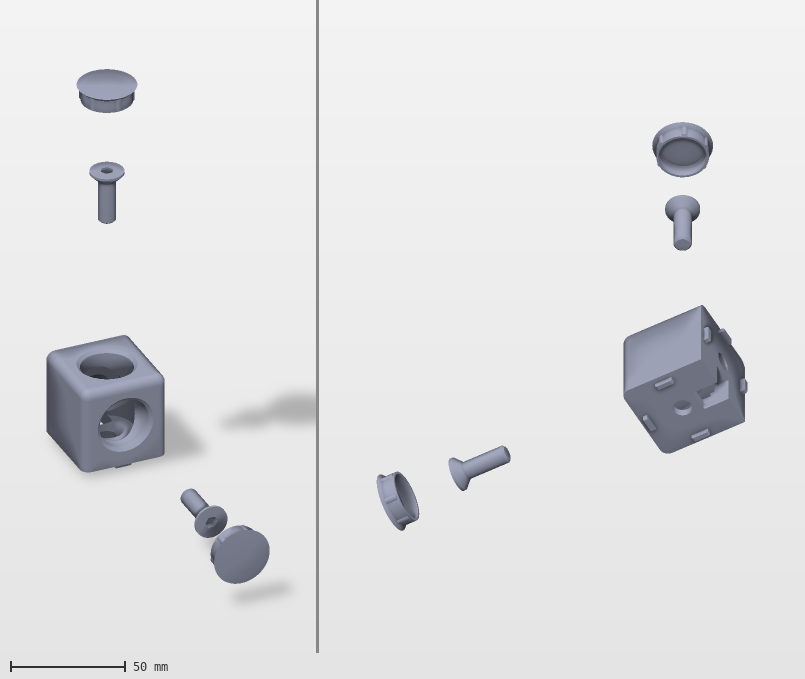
import cadquery as cq
import math

block_size = 40.0
half_size = block_size / 2
edge_radius = 4.0

mouth_diameter = 26.5
bore_diameter = 24.2
lip_diameter = 23.6
lip_length = 0.6
mouth_depth = (mouth_diameter - lip_diameter) / 2
floor_thickness = 7.1
clearance_diameter = 8.5
head_diameter = 15.24
seat_diameter = head_diameter

slot_width = 10.4
slot_reach = 12.15
slot_corner_radius = 1.0
slot_wall_height = 4.6

tab_length = 8.1
tab_thickness = 2.1
tab_height = 2.5
tab_root = 1.0
tab_tip_radius = 1.0
tab_offset = 16.45

screw_diameter = 8.0
screw_length = 25.0
head_rim = 1.2
head_cone = (head_diameter - screw_diameter) / 2
tip_chamfer = 0.85
socket_flats = 5.0
socket_depth = 3.0

cap_rim_radius = mouth_diameter / 2
cap_plug_radius = 11.5
cap_cone = cap_rim_radius - cap_plug_radius
cap_height = 8.1
cap_dome = 0.5
cap_wall = 1.0
cap_top_thickness = 2.2
cap_floor_chamfer = 0.5
rib_count = 6
rib_radius = 1.75
rib_reach = 12.1
rib_start = 0.7

top_cap_face = 181.34
side_cap_face = 165.04
top_screw_face = 137.5
side_screw_face = 132.0
top_cap_turn = 2.6
side_cap_turn = -17.0

top_axis = cq.Plane(origin=(half_size, 0, 0), xDir=(1, 0, 0), normal=(0, 0, 1))
side_axis = cq.Plane(origin=(0, 0, half_size), xDir=(0, 0, 1), normal=(1, 0, 0))


def revolved(points):
    """Turn a (radius, height) outline about the local Z axis."""
    outline = cq.Workplane("XZ").polyline(points).close()
    return outline.revolve(360, (0, 0, 0), (0, 1, 0))


def placed(shape, plane):
    """Move a shape from the origin frame to the given frame."""
    return cq.Workplane(obj=shape.val().moved(plane.location))


def make_bore():
    """Through hole, countersunk seat, main bore, snap lip and flared mouth, along local Z."""
    bore_radius = bore_diameter / 2
    lip_bottom = block_size - mouth_depth - lip_length
    hole_radius = clearance_diameter / 2
    seat_radius = seat_diameter / 2
    seat_bottom = floor_thickness - (seat_radius - hole_radius)
    return revolved([
        (0, 0),
        (hole_radius, 0),
        (hole_radius, seat_bottom),
        (seat_radius, floor_thickness),
        (bore_radius, floor_thickness),
        (bore_radius, lip_bottom),
        (lip_diameter / 2, lip_bottom),
        (lip_diameter / 2, block_size - mouth_depth),
        (mouth_diameter / 2, block_size),
        (0, block_size),
    ])


def make_slot():
    """L-shaped channel through both mounting faces, flared at 45 degrees into the bores."""
    flare = floor_thickness - slot_wall_height
    outline = [
        (0, 0),
        (slot_reach, 0),
        (slot_reach, slot_wall_height),
        (slot_reach + flare, floor_thickness),
        (floor_thickness, slot_reach + flare),
        (slot_wall_height, slot_reach),
        (0, slot_reach),
    ]
    slot = cq.Workplane("XZ").polyline(outline).close().extrude(slot_width / 2, both=True)
    side_edges = slot.edges(">Y or <Y").vals()
    inner_edges = [edge for edge in side_edges if edge.Center().x + edge.Center().z > slot_reach]
    return slot.newObject(inner_edges).fillet(slot_corner_radius)


def make_tab():
    depth = tab_height + tab_root
    tab = cq.Workplane("XY").box(tab_length, tab_thickness, depth, centered=(True, True, False))
    tab = tab.translate((0, 0, -tab_height))
    return tab.faces("<Z").edges("|Y").fillet(tab_tip_radius)


def make_tabs():
    """Three tabs standing below the local XY plane, on the +X, +Y and -Y sides."""
    tab = make_tab()
    tabs = tab.translate((0, tab_offset, 0))
    tabs = tabs.union(tab.translate((0, -tab_offset, 0)))
    return tabs.union(tab.rotate((0, 0, 0), (0, 0, 1), 90).translate((tab_offset, 0, 0)))


def make_housing():
    body = cq.Workplane("XY").box(block_size, block_size, block_size, centered=(False, True, False))
    body = body.edges("(>Z and (>X or >Y or <Y)) or (>X and (>Y or <Y))").fillet(edge_radius)
    body = body.union(placed(make_tabs(), top_axis)).union(placed(make_tabs(), side_axis))
    body = body.cut(placed(make_bore(), top_axis)).cut(placed(make_bore(), side_axis))
    return body.cut(make_slot())


def make_screw():
    """Screw along local Z with the head's flat face at Z = 0."""
    shank_radius = screw_diameter / 2
    head_radius = head_diameter / 2
    screw = revolved([
        (0, 0),
        (head_radius, 0),
        (head_radius, -head_rim),
        (shank_radius, -head_rim - head_cone),
        (shank_radius, -screw_length + tip_chamfer),
        (shank_radius - tip_chamfer, -screw_length),
        (0, -screw_length),
    ])
    socket = cq.Workplane("XY").polygon(6, socket_flats, circumscribed=True).extrude(-socket_depth)
    return screw.cut(socket)


def make_cap_disc():
    """Solid domed disc with a conical rim and a plain plug below it."""
    dome_radius = (cap_rim_radius ** 2 + cap_dome ** 2) / (2 * cap_dome)
    arc_radius = cap_rim_radius / 2
    arc_height = math.sqrt(dome_radius ** 2 - arc_radius ** 2) - dome_radius
    outline = (
        cq.Workplane("XZ")
        .moveTo(0, 0)
        .threePointArc((arc_radius, arc_height), (cap_rim_radius, -cap_dome))
        .lineTo(cap_plug_radius, -cap_dome - cap_cone)
        .lineTo(cap_plug_radius, -cap_height)
        .lineTo(0, -cap_height)
        .close()
    )
    return outline.revolve(360, (0, 0, 0), (0, 1, 0))


def make_rib():
    """Round snap rib on the +X side of the plug, running up into the rim cone."""
    rib_top = -cap_dome - cap_cone / 2
    rib_bottom = rib_start - cap_height
    rib = cq.Workplane("XY").circle(rib_radius).extrude(rib_top - rib_bottom)
    return rib.translate((rib_reach - rib_radius, 0, rib_bottom))


def make_cap():
    """Hollow cap along local Z with the crown of the dome at Z = 0."""
    cap = make_cap_disc()
    for index in range(rib_count):
        cap = cap.union(make_rib().rotate((0, 0, 0), (0, 0, 1), index * 360 / rib_count))
    inner_radius = cap_plug_radius - cap_wall
    cavity = cq.Workplane("XY").circle(inner_radius).extrude(cap_height - cap_top_thickness)
    cavity = cavity.faces(">Z").chamfer(cap_floor_chamfer).translate((0, 0, -cap_height))
    return cap.cut(cavity)


def at_height(plane, height, turn):
    """Frame on the same axis, moved along it and turned about it."""
    moved = cq.Plane(plane.toWorldCoords((0, 0, height)), plane.xDir, plane.zDir)
    return moved.rotated((0, 0, turn))


housing = make_housing()

screws = []
for axis, face in ((top_axis, top_screw_face), (side_axis, side_screw_face)):
    screws.append(placed(make_screw(), at_height(axis, face, 0)))

caps = []
for axis, face, turn in ((top_axis, top_cap_face, top_cap_turn), (side_axis, side_cap_face, side_cap_turn)):
    caps.append(placed(make_cap(), at_height(axis, face, turn)))

result = cq.Compound.makeCompound([body.val() for body in [housing, *screws, *caps]])